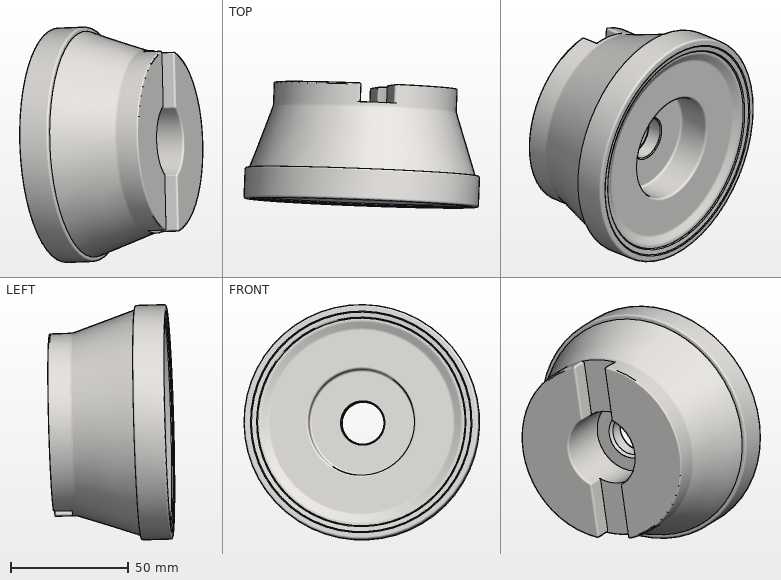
import cadquery as cq
import math

length = 50.0

hub_radius = 39.0
hub_length = 10.0
hub_edge_fillet = 0.65
bore_radius = 32.01 / 2
bore_depth = 25.0
slot_width = 14.4
slot_depth = 8.0
slot_edge_fillet = 0.9
bore_edge_fillet = slot_edge_fillet

flare_end_radius = 96.3 / 2
flare_blend_fillet = 2.0

ring_radius = 50.0
ring_bore_radius = 94.4 / 2
ring_start = 36.7
ring_edge_fillet = 0.9

dish_slope_outer_radius = 93.5 / 2
dish_lip_depth = 0.3
dish_step_top_radius = 89.5 / 2
dish_slope_depth = 0.47
dish_step_bottom_radius = 88.4 / 2
dish_step_depth = 1.1
dish_step_fillet = 0.5
dish_mouth_radius = 85.8 / 2
dish_floor_radius = 79.1 / 2
dish_depth = 3.0
dish_edge_fillet = 2.0

seat_radius = 45.1 / 2
seat_depth = 17.0
seat_edge_fillet = 0.95
bolt_radius = 18.0 / 2
bolt_edge_chamfer = 0.45
bolt_exit_chamfer = 1.2

axis_slope_x = 0.0388
axis_slope_z = -0.028
slot_turn = 7.9

tolerance = 1e-3


def revolve_profile(points):
    """Solid of revolution about the local Z axis from (radius, depth) points."""
    return cq.Workplane("XZ").polyline(points).close().revolve(360, (0, 0, 0), (0, 1, 0))


def circle_edges(solid, radius, depth):
    """Circular edges of the given radius at the given depth."""
    return solid.newObject([
        edge for edge in solid.edges("%CIRCLE").vals()
        if abs(edge.radius() - radius) < tolerance and abs(edge.Center().z - depth) < tolerance
    ])


def make_holder():
    """Hub, flare and dished front as one revolved solid, with the driving slot cut across the hub."""
    dish_floor = length - dish_depth
    seat_floor = length - seat_depth
    profile = [
        (bore_radius, 0),
        (hub_radius, 0),
        (hub_radius, hub_length),
        (flare_end_radius, ring_start),
        (ring_bore_radius, ring_start),
        (ring_bore_radius, length),
        (dish_slope_outer_radius, length - dish_lip_depth),
        (dish_step_top_radius, length - dish_slope_depth),
        (dish_step_bottom_radius, length - dish_step_depth),
        (dish_mouth_radius, length - dish_step_depth),
        (dish_floor_radius, dish_floor),
        (seat_radius, dish_floor),
        (seat_radius, seat_floor),
        (bolt_radius, seat_floor),
        (bolt_radius, bore_depth),
        (bore_radius, bore_depth),
    ]
    holder = revolve_profile(profile)
    holder = circle_edges(holder, hub_radius, hub_length).fillet(flare_blend_fillet)
    dish_edges = (
        (dish_step_top_radius, length - dish_slope_depth, dish_step_fillet),
        (dish_mouth_radius, length - dish_step_depth, dish_edge_fillet),
        (dish_floor_radius, dish_floor, dish_edge_fillet),
    )
    for radius, depth, fillet in dish_edges:
        holder = circle_edges(holder, radius, depth).fillet(fillet)
    for depth in (dish_floor, seat_floor):
        holder = circle_edges(holder, seat_radius, depth).fillet(seat_edge_fillet)
    holder = circle_edges(holder, bolt_radius, seat_floor).chamfer(bolt_edge_chamfer)
    holder = circle_edges(holder, bolt_radius, bore_depth).chamfer(bolt_exit_chamfer)
    holder = circle_edges(holder, hub_radius, 0).fillet(hub_edge_fillet)
    holder = circle_edges(holder, bore_radius, 0).fillet(bore_edge_fillet)
    return cut_driving_slot(holder)


def cut_driving_slot(holder):
    """Cut the slot across the back and round the edges of its walls, leaving its floor sharp."""
    slot = cq.Workplane("XY").box(2 * ring_radius, slot_width, 2 * slot_depth)
    holder = holder.cut(slot)
    wall_edges = [
        edge for edge in holder.edges().vals()
        if abs(abs(edge.Center().y) - slot_width / 2) < tolerance
        and edge.Center().z < slot_depth - tolerance
    ]
    return holder.newObject(wall_edges).fillet(slot_edge_fillet)


def make_ring():
    """Plain ring seated around the front spigot of the holder."""
    profile = [
        (ring_bore_radius, ring_start),
        (ring_radius, ring_start),
        (ring_radius, length),
        (ring_bore_radius, length),
    ]
    ring = revolve_profile(profile)
    for depth in (ring_start, length):
        ring = circle_edges(ring, ring_radius, depth).fillet(ring_edge_fillet)
    return ring


def part_location():
    """Location that puts the back face centre at the origin and points the axis to the front (-Y)."""
    axis = cq.Vector(-axis_slope_x, -1, -axis_slope_z).normalized()
    turn = math.radians(slot_turn)
    slot_direction = cq.Vector(math.sin(turn), 0, math.cos(turn))
    across_axis = slot_direction - axis * slot_direction.dot(axis)
    return cq.Location(cq.Plane(origin=(0, 0, 0), xDir=across_axis, normal=axis))


location = part_location()
holder = make_holder().solids().val().moved(location)
ring = make_ring().solids().val().moved(location)
result = cq.Compound.makeCompound([holder, ring])